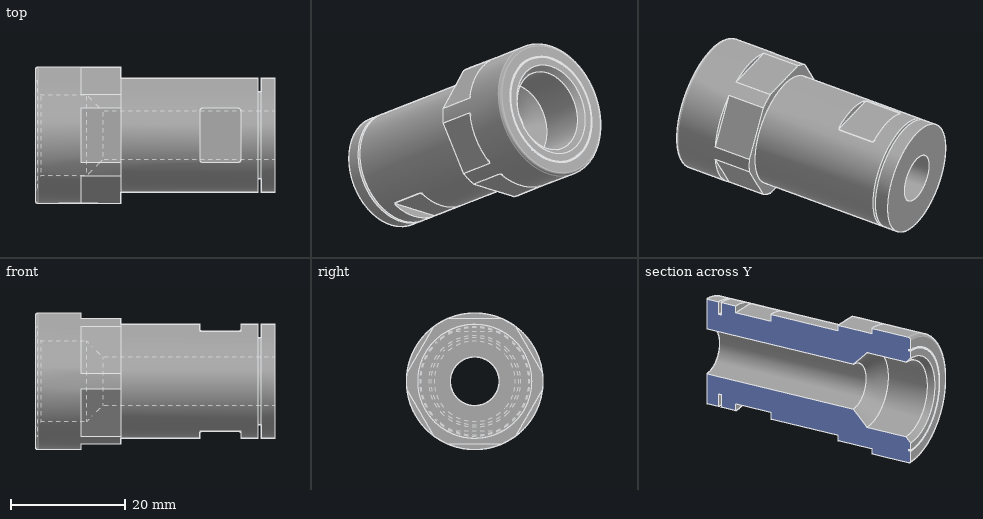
import cadquery as cq

total_length = 42
head_diameter = 24.0
head_length = 15.0
body_diameter = 20.0
head_edge_radius = 0.45

hex_start = 8.02
hex_across_flats = 22.0

wrench_start = 28.8
wrench_end = 36.0
wrench_across_flats = 17.45
wrench_width = 9.5
wrench_corner_radius = 0.45

ring_groove_start = 39.0
ring_groove_width = 0.5
ring_groove_diameter = 15.3

face_groove_outer_diameter = 19.28
face_groove_inner_diameter = 18.9
face_groove_depth = 0.4

mouth_diameter = 16.1
socket_diameter = 14.15
mouth_depth = (mouth_diameter - socket_diameter) / 2
socket_end = 9.0
through_diameter = 8.5
cone_length = (socket_diameter - through_diameter) / 2


def rod(diameter, start, end):
    """Solid cylinder on the X axis between two X positions."""
    return cq.Workplane("YZ", origin=(start, 0, 0)).circle(diameter / 2).extrude(end - start)


def tube(outer_diameter, inner_diameter, start, end):
    return rod(outer_diameter, start, end).cut(rod(inner_diameter, start, end))


def make_head():
    head = rod(head_diameter, 0, head_length)
    return head.faces("<X").edges().fillet(head_edge_radius)


def cut_hexagon(part):
    """Mill six flats, two of them facing +Z and -Z."""
    depth = (head_diameter - hex_across_flats) / 2
    length = head_length - hex_start
    cutter = cq.Workplane("XY").box(length, head_diameter, depth, centered=(False, True, False))
    cutter = cutter.translate((hex_start, 0, hex_across_flats / 2))
    for side in range(6):
        part = part.cut(cutter.rotate((0, 0, 0), (1, 0, 0), side * 60))
    return part


def cut_wrench_pockets(part):
    """Cut the flat-bottomed pockets on +Z and -Z, each with rounded plan corners."""
    depth = (body_diameter - wrench_across_flats) / 2
    length = wrench_end - wrench_start
    cutter = cq.Workplane("XY").box(length, wrench_width, depth, centered=(False, True, False))
    cutter = cutter.edges("|Z").fillet(wrench_corner_radius)
    cutter = cutter.translate((wrench_start, 0, wrench_across_flats / 2))
    for angle in (0, 180):
        part = part.cut(cutter.rotate((0, 0, 0), (1, 0, 0), angle))
    return part


def make_bore():
    profile = [
        (0, 0),
        (0, mouth_diameter / 2),
        (mouth_depth, socket_diameter / 2),
        (socket_end, socket_diameter / 2),
        (socket_end + cone_length, through_diameter / 2),
        (total_length, through_diameter / 2),
        (total_length, 0),
    ]
    return cq.Workplane("XY").polyline(profile).close().revolve(360, (0, 0, 0), (1, 0, 0))


ring_groove = tube(
    body_diameter, ring_groove_diameter, ring_groove_start, ring_groove_start + ring_groove_width
)
face_groove = tube(face_groove_outer_diameter, face_groove_inner_diameter, 0, face_groove_depth)

head = cut_hexagon(make_head())
body = cut_wrench_pockets(rod(body_diameter, head_length, total_length))
result = head.union(body).cut(ring_groove).cut(face_groove).cut(make_bore())